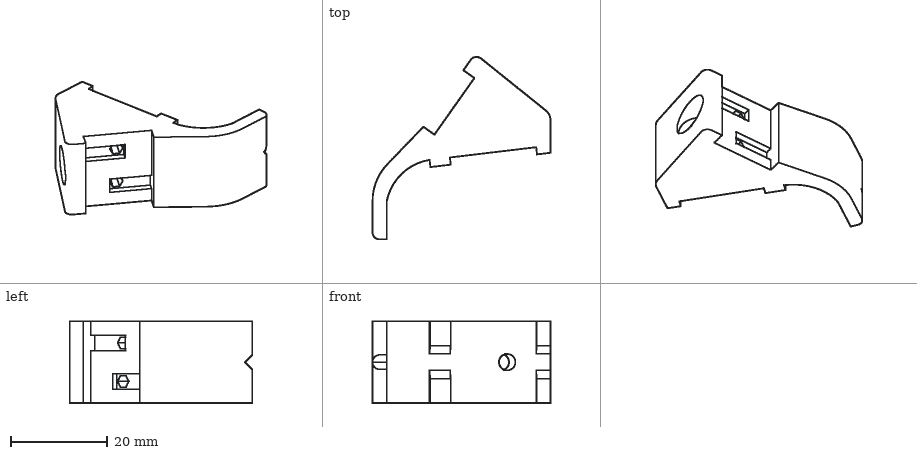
import cadquery as cq
import math

WIDTH = 37.0
DEPTH = 37.94
HEIGHT = 17.0
MID_Z = HEIGHT / 2
OVERLAP = 1.0

LEG_THICKNESS = 3.0
LEG_STRAIGHT = 8.0
LEG_OUTER_RADIUS = 11.0
LEG_ARC_START = 135
LEG_ARC_END = 180
LEG_TIP_FILLET = 1.5
LEG_INNER_RADIUS = 10.8
NOTCH_WIDTH = 3.0
NOTCH_DEPTH = 1.5

PAD_PLANE_ANGLE = 6.8
PAD_PLANE_START = (11.85, 16.5)
PAD_HEIGHT = 1.5
FIRST_PAD_LENGTH = 4.3
SECOND_PAD_OFFSET = 22.3
PAD_GAP_BASE = 3.4
PAD_GAP_TOP = 6.9

SEAT_ANGLE = 54.75
SEAT_START = (12.87, 21.81)
SEAT_LENGTH = 14.35
SEAT_DEPTH = 2.8
HOOK_FILLET = 1.5

BACK_ANGLE = -38.75
BACK_FILLET = 2.5

SLOT_WIDTH = 3.2
SLOT_DEPTH = 1.45
SLOT_SPACING = 8.0
HEX_ACROSS_FLATS = 2.4
HEX_DEPTH = 6.0
HEX_SIDES = 6

SCREW_X = 28.0
SCREW_DIAMETER = 3.4
SCREW_HEAD_DIAMETER = 7.2
SCREW_GRIP = 11.4


def direction(angle):
    """Unit vector in the XY plane at an angle in degrees from +X."""
    return math.cos(math.radians(angle)), math.sin(math.radians(angle))


def local_point(origin, angle, along, across):
    """Point reached by moving along a sloping line, then to its left."""
    ux, uy = direction(angle)
    return origin[0] + along * ux - across * uy, origin[1] + along * uy + across * ux


def pad_point(along, across=0.0):
    return local_point(PAD_PLANE_START, PAD_PLANE_ANGLE, along, across)


def seat_point(along, across=0.0):
    return local_point(SEAT_START, SEAT_ANGLE, along, across)


def sloping_plane(origin, angle, z):
    """Plane at height z: local X runs along the sloping line, local Z points to its left."""
    ux, uy = direction(angle)
    return cq.Plane(origin=(origin[0], origin[1], z), xDir=(ux, uy, 0), normal=(-uy, ux, 0))


def line_crossing(first_point, first_angle, second_point, second_angle):
    """Point where two sloping lines cross."""
    ux, uy = direction(first_angle)
    vx, vy = direction(second_angle)
    dx = second_point[0] - first_point[0]
    dy = second_point[1] - first_point[1]
    along = (dx * vy - dy * vx) / (ux * vy - uy * vx)
    return first_point[0] + along * ux, first_point[1] + along * uy


def along_pad_plane_at_x(x, across):
    """Distance along the pad plane at which an offset line reaches x."""
    ux, uy = direction(PAD_PLANE_ANGLE)
    return (x - PAD_PLANE_START[0] + across * uy) / ux


def leg_outer_point(angle):
    """Point on the outer arc of the leg, at an angle in degrees about the arc center."""
    ux, uy = direction(angle)
    return LEG_OUTER_RADIUS * (1 + ux), LEG_STRAIGHT + LEG_OUTER_RADIUS * uy


def inner_arc_middle(start, end):
    """Middle of the leg's inner arc, which bulges to the left of start-to-end."""
    chord = math.dist(start, end)
    sagitta = LEG_INNER_RADIUS - math.sqrt(LEG_INNER_RADIUS**2 - (chord / 2) ** 2)
    angle = math.degrees(math.atan2(end[1] - start[1], end[0] - start[0]))
    return local_point(start, angle, chord / 2, sagitta)


def back_tangent_point(hook_base):
    """Point where the sloping back leaves the hook's rounded tip, whose top lies at y = DEPTH."""
    center_level = (0, DEPTH - HOOK_FILLET)
    offset_base = local_point(hook_base, SEAT_ANGLE, 0, -HOOK_FILLET)
    tip_center = line_crossing(offset_base, SEAT_ANGLE, center_level, 0)
    return local_point(tip_center, BACK_ANGLE, 0, HOOK_FILLET)


def build_body():
    """Extruded outline, with the pads still running the full height."""
    hook_base = seat_point(SEAT_LENGTH, SEAT_DEPTH)
    back_start = back_tangent_point(hook_base)
    back_end = line_crossing(back_start, BACK_ANGLE, (WIDTH, 0), 90)
    hook_corner = line_crossing(hook_base, SEAT_ANGLE, back_start, BACK_ANGLE)
    inner_start = (LEG_THICKNESS, LEG_STRAIGHT)
    last_along = along_pad_plane_at_x(WIDTH, -PAD_HEIGHT)

    outline = (
        cq.Workplane("XY")
        .moveTo(0, 0)
        .lineTo(LEG_THICKNESS, 0)
        .lineTo(*inner_start)
        .threePointArc(inner_arc_middle(inner_start, PAD_PLANE_START), PAD_PLANE_START)
        .lineTo(*pad_point(0, -PAD_HEIGHT))
        .lineTo(*pad_point(FIRST_PAD_LENGTH, -PAD_HEIGHT))
        .lineTo(*pad_point(FIRST_PAD_LENGTH))
        .lineTo(*pad_point(SECOND_PAD_OFFSET))
        .lineTo(*pad_point(SECOND_PAD_OFFSET, -PAD_HEIGHT))
        .lineTo(*pad_point(last_along, -PAD_HEIGHT))
        .lineTo(*back_end)
        .lineTo(*hook_corner)
        .lineTo(*hook_base)
        .lineTo(*seat_point(SEAT_LENGTH))
        .lineTo(*SEAT_START)
        .lineTo(*seat_point(0, SEAT_DEPTH))
        .lineTo(*leg_outer_point(LEG_ARC_START))
        .threePointArc(leg_outer_point((LEG_ARC_START + LEG_ARC_END) / 2), leg_outer_point(LEG_ARC_END))
        .close()
    )
    body = outline.extrude(HEIGHT)
    for corner, radius in (
        ((0, 0), LEG_TIP_FILLET),
        (back_end, BACK_FILLET),
        (hook_corner, HOOK_FILLET),
    ):
        edge = cq.selectors.NearestToPointSelector((corner[0], corner[1], MID_Z))
        body = body.edges("|Z").edges(edge).fillet(radius)
    return body


def build_leg_notch():
    """V-shaped notch across the tip of the leg."""
    return (
        cq.Workplane("YZ")
        .moveTo(0, MID_Z - NOTCH_WIDTH / 2)
        .lineTo(NOTCH_DEPTH, MID_Z)
        .lineTo(0, MID_Z + NOTCH_WIDTH / 2)
        .close()
        .extrude(LEG_THICKNESS)
    )


def build_pad_gap():
    """Tapered channel that splits each pad rib into an upper and a lower pad."""
    length = along_pad_plane_at_x(WIDTH, 0) + OVERLAP
    ux, uy = direction(PAD_PLANE_ANGLE)
    section = cq.Plane(
        origin=(PAD_PLANE_START[0], PAD_PLANE_START[1], MID_Z), xDir=(uy, -ux, 0), normal=(ux, uy, 0)
    )
    return (
        cq.Workplane(section)
        .moveTo(0, -PAD_GAP_BASE / 2)
        .lineTo(PAD_HEIGHT, -PAD_GAP_TOP / 2)
        .lineTo(PAD_HEIGHT, PAD_GAP_TOP / 2)
        .lineTo(0, PAD_GAP_BASE / 2)
        .close()
        .extrude(length)
    )


def build_seat_slot(side):
    """Slot from one end of the seat to just past its middle, with a hexagonal socket.

    side is +1 for the upper slot, which starts at the hook, and -1 for the
    lower slot, which starts at the shoulder.
    """
    z = MID_Z + side * SLOT_SPACING / 2
    slot_plane = sloping_plane(seat_point(SEAT_LENGTH / 2), SEAT_ANGLE, z)
    overrun = SLOT_WIDTH / 2
    slot_length = SEAT_LENGTH / 2 + overrun
    slot = (
        cq.Workplane(slot_plane)
        .center(side * (slot_length / 2 - overrun), 0)
        .rect(slot_length, SLOT_WIDTH)
        .extrude(-SLOT_DEPTH)
    )
    hex_across_corners = HEX_ACROSS_FLATS / math.cos(math.pi / HEX_SIDES)
    socket = cq.Workplane(slot_plane).polygon(HEX_SIDES, hex_across_corners).extrude(-HEX_DEPTH)
    return slot.union(socket)


def build_screw_hole():
    """Through bore from the pad plane, widened for the screw head at the sloping back."""
    entry = pad_point(along_pad_plane_at_x(SCREW_X, 0))
    bore_plane = sloping_plane(entry, PAD_PLANE_ANGLE, MID_Z)
    bore = (
        cq.Workplane(bore_plane)
        .workplane(offset=-OVERLAP)
        .circle(SCREW_DIAMETER / 2)
        .extrude(SCREW_GRIP + 2 * OVERLAP)
    )
    head = (
        cq.Workplane(bore_plane)
        .workplane(offset=SCREW_GRIP)
        .circle(SCREW_HEAD_DIAMETER / 2)
        .extrude(DEPTH - SCREW_GRIP)
    )
    return bore.union(head)


result = build_body().cut(build_leg_notch()).cut(build_pad_gap()).cut(build_screw_hole())
for slot_side in (1, -1):
    result = result.cut(build_seat_slot(slot_side))